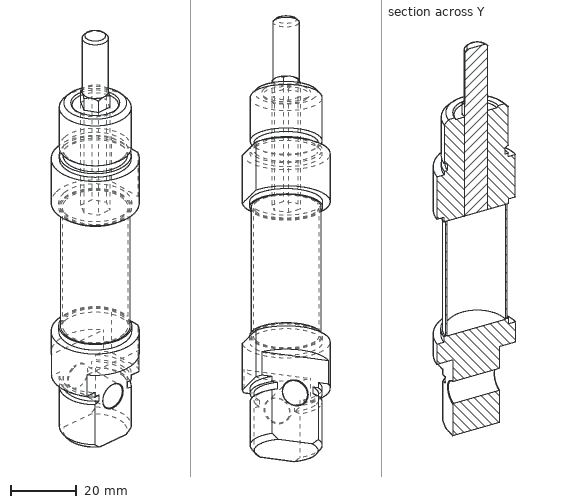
import cadquery as cq
import math

LENGTH = 141.0

ROD_DIA = 8.0
ROD_TIP_CHAMFER = 0.8
HEX_FLATS = 8.0
HEX_CORNERS = HEX_FLATS * 2 / math.sqrt(3)
HEX_TURN = 30.0
HEX_EXPOSED = 4.0
STUD_LENGTH = 20.0

COLLAR_DIA = 27.0
COLLAR_DEPTH = 25.5
COLLAR_FLAT_Y = COLLAR_DEPTH - COLLAR_DIA / 2
LIP_DIA = 22.3

BOSS_DIA = 22.0
BOSS_HEIGHT = 16.5
BOSS_CHAMFER_HEIGHT = 1.5
BOSS_CHAMFER_RADIAL = 1.4
BOSS_RUNOUT_HEIGHT = 0.7
NECK_DIA = 19.7
NECK_HEIGHT = 2.1
STEP_HEIGHT = 1.3
HEAD_COLLAR_HEIGHT = 15.8
HEAD_LIP_HEIGHT = 1.7
RECESS_RIM_DIA = 15.0
RECESS_FLOOR_DIA = 14.1
RECESS_DEPTH = 0.7

LUG_DIA = 22.0
LUG_WIDTH = 16.1
LUG_CHAMFER_HEIGHT = 1.7
LUG_CHAMFER_RADIAL = 1.3
LUG_RUNOUT_HEIGHT = 0.5
GROOVE_DIA = 19.7
GROOVE_BOTTOM_Z = 16.5
GROOVE_HEIGHT = 2.1
CAP_STEP_HEIGHT = 1.7
LUG_SHOULDER_Z = 27.9
CAP_TOP_COLLAR_Z = 35.5
CAP_LIP_HEIGHT = 2.0
PIVOT_DIA = 8.0
PIVOT_CHAMFER = 0.21
PIVOT_Z = 16.0

TUBE_DIA = 21.3
TUBE_BORE = 20.0

HEX_TOP = LENGTH - STUD_LENGTH
HEAD_TOP = HEX_TOP - HEX_EXPOSED
BOSS_BOTTOM = HEAD_TOP - BOSS_HEIGHT
NECK_BOTTOM = BOSS_BOTTOM - NECK_HEIGHT
HEAD_COLLAR_TOP = NECK_BOTTOM - STEP_HEIGHT
HEAD_COLLAR_BOTTOM = HEAD_COLLAR_TOP - HEAD_COLLAR_HEIGHT
TUBE_TOP = HEAD_COLLAR_BOTTOM - HEAD_LIP_HEIGHT
TUBE_BOTTOM = CAP_TOP_COLLAR_Z + CAP_LIP_HEIGHT
GROOVE_TOP = GROOVE_BOTTOM_Z + GROOVE_HEIGHT
CAP_COLLAR_BOTTOM = GROOVE_TOP + CAP_STEP_HEIGHT


def cylinder(diameter, bottom, top):
    """Round bar on the Z axis between two levels."""
    return cq.Workplane("XY").workplane(offset=bottom).circle(diameter / 2).extrude(top - bottom)


def hexagon_bar(bottom, top):
    """Hexagonal bar with flats facing +X and -X."""
    bar = cq.Workplane("XY").workplane(offset=bottom).polygon(6, HEX_CORNERS).extrude(top - bottom)
    return bar.rotate((0, 0, 0), (0, 0, 1), HEX_TURN)


def flatted_collar(bottom, top):
    """Collar with one flat on its +Y side."""
    keep = cq.Workplane("XY").box(
        COLLAR_DIA, COLLAR_DIA / 2 + COLLAR_FLAT_Y, top - bottom, centered=(True, False, False)
    ).translate((0, -COLLAR_DIA / 2, bottom))
    return cylinder(COLLAR_DIA, bottom, top).intersect(keep)


def make_rod():
    """Stud on a hexagonal shank that runs down through the head."""
    stud = cylinder(ROD_DIA, HEX_TOP, LENGTH).faces(">Z").chamfer(ROD_TIP_CHAMFER)
    shank = hexagon_bar(TUBE_TOP, HEX_TOP)
    corner_overhang = (HEX_CORNERS - HEX_FLATS) / 2
    envelope = cylinder(HEX_CORNERS, TUBE_TOP, HEX_TOP).faces(">Z").chamfer(corner_overhang)
    return shank.intersect(envelope).union(stud)


def make_head():
    """Boss, relief neck, flatted collar and lip, with a hexagonal bore for the rod."""
    boss = (
        cylinder(BOSS_DIA, BOSS_BOTTOM, HEAD_TOP)
        .faces(">Z").chamfer(BOSS_CHAMFER_HEIGHT, BOSS_CHAMFER_RADIAL)
        .faces("<Z").chamfer(BOSS_RUNOUT_HEIGHT, (BOSS_DIA - NECK_DIA) / 2)
    )
    neck = cylinder(NECK_DIA, NECK_BOTTOM, BOSS_BOTTOM)
    step = cylinder(BOSS_DIA, HEAD_COLLAR_TOP, NECK_BOTTOM)
    collar = flatted_collar(HEAD_COLLAR_BOTTOM, HEAD_COLLAR_TOP)
    lip = cylinder(LIP_DIA, TUBE_TOP, HEAD_COLLAR_BOTTOM)
    recess = cq.Workplane(cq.Solid.makeCone(
        RECESS_FLOOR_DIA / 2, RECESS_RIM_DIA / 2, RECESS_DEPTH, cq.Vector(0, 0, HEAD_TOP - RECESS_DEPTH)
    ))
    head = boss.union(neck).union(step).union(collar).union(lip)
    return head.cut(recess).cut(hexagon_bar(TUBE_TOP, HEAD_TOP))


def make_tube():
    """Plain barrel held between the lips of the head and the rear cap."""
    return cylinder(TUBE_DIA, TUBE_BOTTOM, TUBE_TOP).cut(cylinder(TUBE_BORE, TUBE_BOTTOM, TUBE_TOP))


def make_rear_cap():
    """Flatted collar above a grooved lug with flat cheeks and a pivot hole."""
    lug = (
        cylinder(LUG_DIA, 0, GROOVE_BOTTOM_Z)
        .faces("<Z").chamfer(LUG_CHAMFER_HEIGHT, LUG_CHAMFER_RADIAL)
        .faces(">Z").chamfer(LUG_RUNOUT_HEIGHT, (LUG_DIA - GROOVE_DIA) / 2)
    )
    groove = cylinder(GROOVE_DIA, GROOVE_BOTTOM_Z, GROOVE_TOP)
    step = cylinder(LUG_DIA, GROOVE_TOP, CAP_COLLAR_BOTTOM)
    collar = flatted_collar(CAP_COLLAR_BOTTOM, CAP_TOP_COLLAR_Z)
    lip = cylinder(LIP_DIA, CAP_TOP_COLLAR_Z, TUBE_BOTTOM)
    cap = lug.union(groove).union(step).union(collar).union(lip)
    for side in (-1, 1):
        cheek = cq.Workplane("XY").box(
            COLLAR_DIA, 2 * COLLAR_DIA, LUG_SHOULDER_Z, centered=(True, True, False)
        ).translate((side * (LUG_WIDTH + COLLAR_DIA) / 2, 0, 0))
        cap = cap.cut(cheek)
    pivot = cq.Workplane("YZ").center(0, PIVOT_Z).circle(PIVOT_DIA / 2).extrude(LUG_WIDTH / 2, both=True)
    cap = cap.cut(pivot)
    for side in (-1, 1):
        mouth = cq.Workplane(cq.Solid.makeCone(
            PIVOT_DIA / 2 + PIVOT_CHAMFER, PIVOT_DIA / 2, PIVOT_CHAMFER,
            cq.Vector(side * LUG_WIDTH / 2, 0, PIVOT_Z), cq.Vector(-side, 0, 0),
        ))
        cap = cap.cut(mouth)
    return cap


rod = make_rod()
head = make_head()
tube = make_tube()
rear_cap = make_rear_cap()

result = cq.Compound.makeCompound([rod.val(), head.val(), tube.val(), rear_cap.val()])